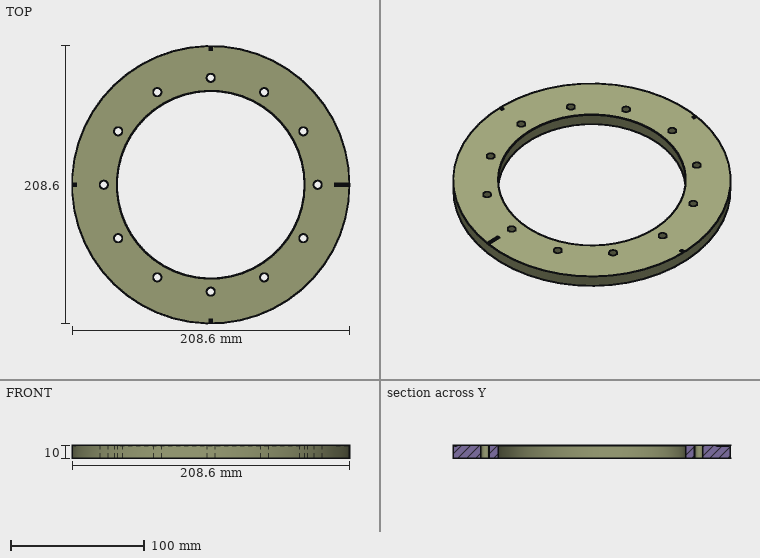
import cadquery as cq
outer_diameter = 208.6
bore_diameter = 140.5
thickness = 10.0
rim_chamfer = 0.2
bore_chamfer = 0.5

bolt_circle_diameter = 160.6
hole_diameter = 6.0
hole_count = 12

mark_width = 2.0
mark_depth = 0.52
mark_wall_taper = 60
mark_rim_gap = 0.6
short_mark_length = 2.5
long_mark_length = 10.5
mark_spacing_angle = 90


def make_ring():
    """Flat ring with the rim and bore edges of its top face broken."""
    disc = (
        cq.Workplane("XY")
        .circle(outer_diameter / 2)
        .extrude(thickness)
        .faces(">Z")
        .edges()
        .chamfer(rim_chamfer)
    )
    bore = cq.Workplane("XY").circle(bore_diameter / 2).extrude(thickness)
    bore_flare = (
        cq.Workplane("XY", origin=(0, 0, thickness))
        .circle(bore_diameter / 2 + bore_chamfer)
        .extrude(-bore_chamfer, taper=45)
    )
    return disc.cut(bore).cut(bore_flare)


def make_bolt_holes():
    return (
        cq.Workplane("XY")
        .polarArray(bolt_circle_diameter / 2, 0, 360, hole_count)
        .circle(hole_diameter / 2)
        .extrude(thickness)
    )


def make_index_mark(length, angle):
    """Radial groove with a near-V section whose outer end lies just inside the rim."""
    mark_center_radius = outer_diameter / 2 - mark_rim_gap - length / 2
    return (
        cq.Workplane("XY", origin=(0, 0, thickness))
        .center(mark_center_radius, 0)
        .rect(length, mark_width)
        .extrude(-mark_depth, taper=mark_wall_taper)
        .rotate((0, 0, 0), (0, 0, 1), angle)
    )


result = make_ring().cut(make_bolt_holes())

for angle in range(0, 360, mark_spacing_angle):
    mark_length = long_mark_length if angle == 0 else short_mark_length
    result = result.cut(make_index_mark(mark_length, angle))